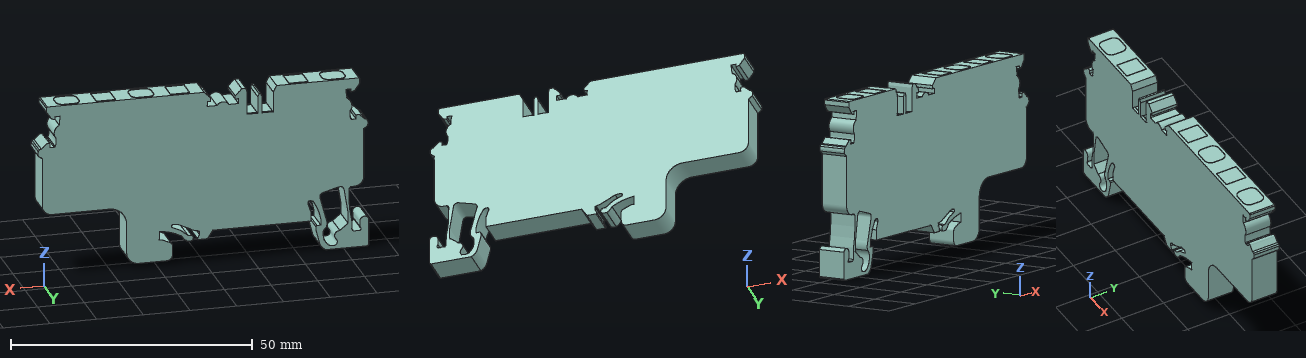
import cadquery as cq


thickness = 6.0
top_z = 37.4
end_mirror_x = 35.5

end_wall_x = 1.05
end_bottom_z = 13.45
end_corner_radius = 2.05
end_inner_x = 7.1
latch_side_x = 12.4
rail_seat_z = 6.65
foot_left_x = 42.0
foot_right_x = 51.8
foot_bottom_z = 0.85
foot_outer_radius = 2.55
foot_inner_radius = 1.2
foot_root_radius = 3.7

well_left_x = 20.45
well_right_x = 26.05
well_floor_z = 31.65
blade_x = 23.3
blade_width = 0.9
blade_tip_width = 0.4
blade_shoulder_z = 35.25
blade_tip_z = 36.0

groove_x = 31.2
groove_floor_z = 34.2
groove_half_width = 3.3
groove_lip_z = 35.25
groove_lip_half_gap = 2.6
groove_lip_nose_z = 36.0
groove_top_half_gap = 4.05
groove_bump_half_width = 1.3
groove_bump_height = 0.7

mark_depth = 0.1
mark_length_y = 4.7
screw_mark_width = 4.95
screw_mark_radius = 1.4
screw_mark_centers = (7.0, 48.0, 63.9)
wire_mark_width = 4.1
wire_mark_centers = (14.9, 40.2, 56.1)
well_mark_length_y = 4.8

middle_y = thickness / 2


def profile(start_x, start_z):
    """Start an outline in the X-Z plane."""
    return cq.Workplane("XZ").moveTo(start_x, start_z)


def through(outline):
    """Close an outline and carry it across the full thickness."""
    return outline.close().extrude(-thickness)


def block(x_min, x_max, z_min, z_max):
    """Rectangular block of full thickness."""
    size = (x_max - x_min, thickness, z_max - z_min)
    return cq.Workplane("XY").box(*size, centered=False).translate((x_min, 0, z_min))


def housing_end():
    """Left end: rounded lower corner, ear, marker recess with a round bead, and top lip."""
    corner_z = end_bottom_z + end_corner_radius
    outline = (
        profile(end_inner_x, end_bottom_z)
        .lineTo(end_wall_x + end_corner_radius, end_bottom_z)
        .radiusArc((end_wall_x, corner_z), end_corner_radius)
        .lineTo(end_wall_x, 26.0)
        .lineTo(0.2, 26.7)
        .lineTo(0.15, 27.1)
        .lineTo(0.2, 27.7)
        .lineTo(0.4, 28.05)
        .lineTo(0.85, 28.2)
        .lineTo(1.8, 29.0)
        .threePointArc((2.2, 29.3), (2.75, 29.1))
        .lineTo(2.75, 28.4)
        .lineTo(3.6, 28.3)
        .lineTo(3.8, 28.45)
        .lineTo(4.05, 29.25)
        .lineTo(4.05, 30.2)
        .threePointArc((3.6, 31.35), (4.3, 32.85))
        .lineTo(4.7, 33.1)
        .lineTo(4.9, 35.05)
        .lineTo(3.8, 35.05)
        .lineTo(3.8, 34.4)
        .lineTo(3.05, 34.6)
        .lineTo(1.9, 36.2)
        .lineTo(1.9, 37.2)
        .lineTo(2.1, top_z)
        .lineTo(end_inner_x, top_z)
    )
    return through(outline)


def housing():
    """Upper body with its two ends, the lower body over the rail, and the fixed foot."""
    left_end = housing_end()
    right_end = left_end.mirror("YZ").translate((2 * end_mirror_x, 0, 0))
    right_inner_x = 2 * end_mirror_x - end_inner_x

    foot = block(foot_left_x, foot_right_x, foot_bottom_z, end_bottom_z)
    foot = foot.edges("|Y and >X and <Z").fillet(foot_outer_radius)
    foot = foot.edges("|Y and <X and <Z").fillet(foot_inner_radius)

    root = through(
        profile(foot_right_x, end_bottom_z)
        .lineTo(foot_right_x + foot_root_radius, end_bottom_z)
        .radiusArc((foot_right_x, end_bottom_z - foot_root_radius), -foot_root_radius)
    )
    return (
        block(end_inner_x, right_inner_x, end_bottom_z, top_z)
        .union(block(latch_side_x, foot_right_x, rail_seat_z, end_bottom_z))
        .union(left_end)
        .union(right_end)
        .union(foot)
        .union(root)
    )


def test_well():
    """Open well in the top with a flared left side and a slightly relieved right side."""
    return through(
        profile(well_left_x, well_floor_z)
        .lineTo(well_left_x, 36.05)
        .lineTo(19.75, top_z)
        .lineTo(26.3, top_z)
        .lineTo(well_right_x, 36.6)
        .lineTo(well_right_x, well_floor_z)
    )


def contact_blade():
    """Blade standing in the well, tapered at the tip and rooted in the recessed floor."""
    root_z = well_floor_z - mark_depth
    return through(
        profile(blade_x - blade_width / 2, root_z)
        .lineTo(blade_x - blade_width / 2, blade_shoulder_z)
        .lineTo(blade_x - blade_tip_width / 2, blade_tip_z)
        .lineTo(blade_x + blade_tip_width / 2, blade_tip_z)
        .lineTo(blade_x + blade_width / 2, blade_shoulder_z)
        .lineTo(blade_x + blade_width / 2, root_z)
    )


def marker_groove():
    """Undercut groove with two snap lips and a round bump on its floor."""
    return through(
        profile(groove_x - groove_top_half_gap, top_z)
        .lineTo(groove_x - groove_lip_half_gap, groove_lip_nose_z)
        .lineTo(groove_x - groove_lip_half_gap, groove_lip_z)
        .lineTo(groove_x - groove_half_width, groove_lip_z)
        .lineTo(groove_x - groove_half_width, groove_floor_z)
        .lineTo(groove_x - groove_bump_half_width, groove_floor_z)
        .threePointArc(
            (groove_x, groove_floor_z + groove_bump_height),
            (groove_x + groove_bump_half_width, groove_floor_z),
        )
        .lineTo(groove_x + groove_half_width, groove_floor_z)
        .lineTo(groove_x + groove_half_width, groove_lip_z)
        .lineTo(groove_x + groove_lip_half_gap, groove_lip_z)
        .lineTo(groove_x + groove_lip_half_gap, groove_lip_nose_z)
        .lineTo(groove_x + groove_top_half_gap, top_z)
    )


def latch():
    """Sprung latch foot below the left end, with the hook at its outer side."""
    return through(
        profile(3.8, end_bottom_z)
        .threePointArc((4.1, 13.25), (4.25, 12.75))
        .lineTo(4.25, 10.7)
        .lineTo(4.05, 8.3)
        .lineTo(3.7, 6.4)
        .lineTo(3.6, 4.0)
        .lineTo(3.3, 3.6)
        .lineTo(2.0, 3.6)
        .threePointArc((1.7, 3.9), (1.9, 4.3))
        .lineTo(1.9, 5.4)
        .threePointArc((1.0, 6.65), (0, 6.0))
        .lineTo(0, 0.35)
        .lineTo(0.35, 0)
        .lineTo(9.2, 0)
        .threePointArc((10.0, 0.6), (10.5, 1.35))
        .lineTo(11.3, 4.6)
        .lineTo(11.3, 5.3)
        .lineTo(11.1, 5.6)
        .lineTo(latch_side_x, 5.6)
        .lineTo(latch_side_x, end_bottom_z)
    )


def latch_window():
    """Opening that separates the two spring arms of the latch."""
    return through(
        profile(4.45, 5.45)
        .lineTo(4.45, 7.8)
        .lineTo(5.3, 13.0)
        .threePointArc((5.65, 13.5), (6.4, 13.65))
        .lineTo(9.85, 12.7)
        .threePointArc((10.35, 12.3), (10.4, 11.6))
        .lineTo(9.1, 6.9)
        .threePointArc((8.9, 5.95), (9.05, 5.0))
        .threePointArc((9.6, 4.4), (9.8, 3.55))
        .threePointArc((9.35, 1.9), (8.65, 1.05))
        .threePointArc((8.15, 0.85), (7.3, 0.85))
        .threePointArc((6.9, 1.2), (6.9, 2.0))
        .lineTo(7.3, 2.6)
        .threePointArc((7.2, 3.5), (6.7, 3.9))
        .lineTo(6.2, 4.05)
    )


def latch_slit():
    """Narrow curved slit between the latch and the lower body, open at the bottom."""
    return through(
        profile(10.3, 5.6)
        .lineTo(10.3, 6.9)
        .threePointArc((10.75, 8.7), (11.7, 10.6))
        .threePointArc((12.25, 11.1), (12.9, 11.1))
        .lineTo(13.0, 10.6)
        .lineTo(12.4, 8.85)
        .lineTo(latch_side_x, 5.6)
    )


def foot_jaw():
    """Rail jaw beside the fixed foot, with a slanting slit running up into the body."""
    return through(
        profile(36.25, foot_bottom_z)
        .lineTo(36.25, 6.5)
        .lineTo(36.5, 6.8)
        .lineTo(37.4, 7.0)
        .lineTo(40.7, 8.65)
        .lineTo(41.8, 8.8)
        .threePointArc((42.2, 8.6), (42.1, 8.15))
        .lineTo(42.1, 7.5)
        .lineTo(44.8, 7.5)
        .lineTo(44.8, 5.6)
        .lineTo(44.1, 5.5)
        .lineTo(42.6, 4.9)
        .threePointArc((42.2, 4.6), (foot_left_x, 4.2))
        .lineTo(foot_left_x, foot_bottom_z)
    )


def jaw_tongue():
    """Spring tongue reaching from the jaw roof down to a rounded tip."""
    return through(
        profile(44.8, 7.5)
        .lineTo(43.9, 7.35)
        .threePointArc((41.8, 6.8), (40.0, 5.95))
        .threePointArc((39.6, 5.3), (38.9, 4.75))
        .lineTo(38.15, 4.75)
        .threePointArc((37.5, 5.3), (37.9, 5.95))
        .lineTo(38.65, 6.0)
        .lineTo(40.2, 7.3)
        .lineTo(42.1, 8.15)
        .lineTo(44.8, 8.15)
    )


def rail_nib():
    """Downward nib beside the jaw that locates the rail edge."""
    return through(
        profile(33.35, rail_seat_z)
        .lineTo(34.55, 4.9)
        .lineTo(36.5, 4.9)
        .lineTo(36.7, 5.2)
        .lineTo(36.25, 6.0)
        .lineTo(36.25, rail_seat_z)
    )


def top_mark(center_x, width, corner_radius=0):
    """Shallow rectangular recess in the top face."""
    mark = cq.Workplane("XY").box(width, mark_length_y, 2 * mark_depth)
    if corner_radius > 0:
        mark = mark.edges("|Z").fillet(corner_radius)
    return mark.translate((center_x, middle_y, top_z))


def well_floor_mark():
    """Shallow recess in the well floor, inset from the front and back faces."""
    return (
        cq.Workplane("XY")
        .box(well_right_x - well_left_x, well_mark_length_y, 2 * mark_depth)
        .translate(((well_left_x + well_right_x) / 2, middle_y, well_floor_z))
    )


body = housing().union(latch()).cut(latch_window()).cut(latch_slit())
body = body.cut(foot_jaw()).union(jaw_tongue()).union(rail_nib())
body = body.cut(test_well()).cut(well_floor_mark())
body = body.union(contact_blade()).cut(marker_groove())

for x in screw_mark_centers:
    body = body.cut(top_mark(x, screw_mark_width, screw_mark_radius))
for x in wire_mark_centers:
    body = body.cut(top_mark(x, wire_mark_width))

result = body